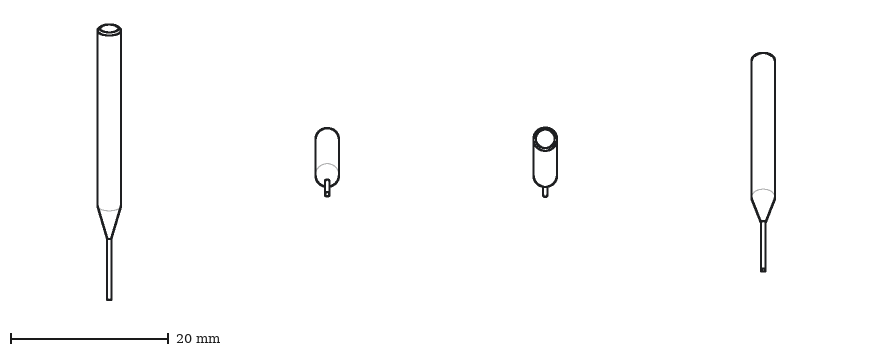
import cadquery as cq
import math


overall_length = 38.0
shank_diameter = 3.0
drill_diameter = 0.59
drill_length = 8.68
point_angle = 130.0
cone_half_angle = 15.0
chamfer_height = 0.3
chamfer_inset = 0.3

shank_radius = shank_diameter / 2
drill_radius = drill_diameter / 2
point_height = drill_radius / math.tan(math.radians(point_angle / 2))
cone_height = (shank_radius - drill_radius) / math.tan(math.radians(cone_half_angle))
cone_top = drill_length + cone_height


def make_drill():
    """Slender round drill with a conical point."""
    profile = (
        cq.Workplane("XZ")
        .lineTo(drill_radius, point_height)
        .lineTo(drill_radius, drill_length)
        .lineTo(0, drill_length)
        .close()
    )
    return profile.revolve(360, (0, 0, 0), (0, 1, 0))


def make_shank():
    """Cylindrical shank, tapering to the drill below and chamfered on top."""
    profile = (
        cq.Workplane("XZ")
        .moveTo(0, drill_length)
        .lineTo(drill_radius, drill_length)
        .lineTo(shank_radius, cone_top)
        .lineTo(shank_radius, overall_length - chamfer_height)
        .lineTo(shank_radius - chamfer_inset, overall_length)
        .lineTo(0, overall_length)
        .close()
    )
    return profile.revolve(360, (0, 0, 0), (0, 1, 0))


drill = make_drill()
shank = make_shank()

result = cq.Compound.makeCompound([drill.val(), shank.val()])